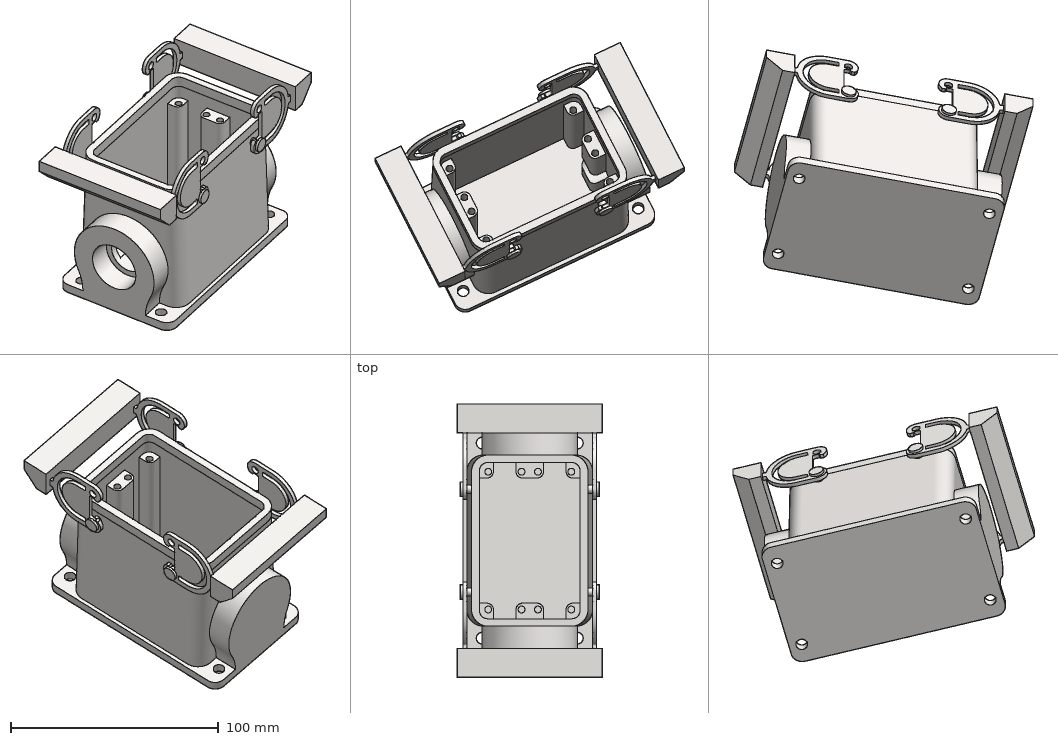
import cadquery as cq
import math

base_width = 64.5
base_length = 106.6
base_thickness = 4.7
base_corner_radius = 5.5
mount_hole_diameter = 5.5
mount_hole_x = 22.9
mount_hole_y = 47.0

wall_foot_width = 60.5
wall_top_width = 56.0
wall_length = 82.4
wall_corner_radius = 7.9
wall_top_z = 69.4
collar_height = 5.5
cavity_width = 48.5
cavity_length = 75.3
cavity_corner_radius = 4.1

entry_radius = 23.0
entry_z = 26.3
entry_flare_radius = 26.3
entry_bore_diameter = 25.0
entry_bore_depth = 12.1
entry_hole_diameter = 19.0

post_top_z = 62.4
post_reach_y = 30.1
post_corner_radius = 3.2
middle_post_width = 13.3
corner_post_edge_x = 17.5
screw_hole_diameter = 3.3
screw_hole_depth = 13.2
screw_y = 33.2
middle_screw_x = 4.0
corner_screw_x = 20.0

cheek_thickness = 2.0
cheek_outer_x = 32.2
cheek_z = 75.5
cheek_radius = 15.5
cheek_arc_y = 34.6
cheek_inner_y = 26.8
hook_radius = 4.9
hook_y = 24.7
hook_hole_diameter = 4.0
hook_lip_drop = 3.7
hook_notch_drop = 2.8
hook_notch_y = 23.8
hook_lip_y = 23.2
notch_fillet_radius = 0.8
slot_outer_radius = 12.5
slot_inner_radius = 9.6
slot_end_y = 29.3
slot_end_fillet_radius = 0.8
neck_height = 3.8
neck_fillet_radius = 0.8
pin_diameter = 4.0
pin_head_diameter = 7.1
pin_head_height = 1.3

bar_length = 70.0
bar_outer_y = 65.8
bar_inner_y = 51.9
bar_toe_y = 57.9
bar_bottom_z = 69.2
bar_top_z = 83.6
bar_chamfer_top_z = 77.5

hook_offset_z = cheek_radius - hook_radius
SIDES = (1, -1)
pick_margin = 0.1


def rounded_block(width, length, radius, bottom_z, height):
    """Upright block centred on the Z axis, with rounded vertical edges."""
    block = cq.Workplane("XY").workplane(offset=bottom_z).rect(width, length).extrude(height)
    return block.edges("|Z").fillet(radius)


def make_base():
    """Base plate with a mounting hole in each corner."""
    plate = rounded_block(base_width, base_length, base_corner_radius, 0, base_thickness)
    return (
        plate.faces(">Z").workplane(origin=(0, 0, base_thickness))
        .rect(2 * mount_hole_x, 2 * mount_hole_y, forConstruction=True)
        .vertices().hole(mount_hole_diameter)
    )


def make_walls():
    """Housing block whose long sides lean inwards towards the top."""
    foot_x = wall_foot_width / 2
    top_x = wall_top_width / 2
    block = (
        cq.Workplane("XZ").moveTo(-foot_x, base_thickness).lineTo(foot_x, base_thickness)
        .lineTo(top_x, wall_top_z).lineTo(-top_x, wall_top_z)
        .close().extrude(wall_length / 2, both=True)
    )
    return block.edges("not(|X or |Y)").fillet(wall_corner_radius)


def make_entries():
    """Round bosses through the full base length, flaring tangentially onto the base plate."""
    flare_reach = entry_radius + entry_flare_radius
    drop = entry_z - base_thickness
    flare_x = math.sqrt(flare_reach**2 - drop**2)
    foot_x = flare_x - entry_flare_radius
    tangent_x = flare_x * entry_radius / flare_reach
    tangent_z = entry_z - drop * entry_radius / flare_reach
    half_angle = math.asin(drop / flare_reach) / 2
    middle_x = flare_x - entry_flare_radius * math.cos(half_angle)
    middle_z = base_thickness + entry_flare_radius * math.sin(half_angle)
    return (
        cq.Workplane("XZ").moveTo(-foot_x, base_thickness)
        .threePointArc((-middle_x, middle_z), (-tangent_x, tangent_z))
        .threePointArc((0, entry_z + entry_radius), (tangent_x, tangent_z))
        .threePointArc((middle_x, middle_z), (foot_x, base_thickness))
        .close().extrude(base_length / 2, both=True)
    )


def make_posts():
    """Screw posts along both end walls: one in the middle and one in each corner."""
    height = post_top_z - base_thickness
    post_length = cavity_length / 2 - post_reach_y
    corner_width = cavity_width / 2 - corner_post_edge_x
    corner_x = (cavity_width / 2 + corner_post_edge_x) / 2
    floor = cq.Workplane("XY").workplane(offset=base_thickness)
    posts = cq.Workplane("XY")
    for end in SIDES:
        post_y = end * (post_reach_y + post_length / 2)
        inward = "<Y" if end > 0 else ">Y"
        middle = floor.center(0, post_y).rect(middle_post_width, post_length).extrude(height)
        posts = posts.add(middle.faces(inward).edges("|Z").fillet(post_corner_radius))
        for side in SIDES:
            corner = floor.center(side * corner_x, post_y).rect(corner_width, post_length).extrude(height)
            free_edge = "<X" if side > 0 else ">X"
            posts = posts.add(corner.faces(inward).edges(free_edge).fillet(post_corner_radius))
    return posts.combine()


def make_screw_holes():
    """Blind holes in the tops of the screw posts."""
    places = [
        (side * x, end * screw_y)
        for end in SIDES
        for side in SIDES
        for x in (middle_screw_x, corner_screw_x)
    ]
    top = cq.Workplane("XY").workplane(offset=post_top_z)
    return top.pushPoints(places).circle(screw_hole_diameter / 2).extrude(-screw_hole_depth)


def make_entry_hole():
    """Stepped cable hole from the -Y end into the cavity."""
    mouth = cq.Workplane("XZ", origin=(0, -base_length / 2, entry_z))
    bore = mouth.circle(entry_bore_diameter / 2).extrude(-entry_bore_depth)
    passage = mouth.circle(entry_hole_diameter / 2).extrude(-(base_length / 2 - post_reach_y))
    return bore.union(passage)


def make_cheek_slot():
    """C-shaped slot that follows the round back of a cheek."""
    top_out = cheek_z + slot_outer_radius
    top_in = cheek_z + slot_inner_radius
    bottom_out = cheek_z - slot_outer_radius
    bottom_in = cheek_z - slot_inner_radius
    slot = (
        cq.Workplane("YZ").moveTo(slot_end_y, top_out).lineTo(cheek_arc_y, top_out)
        .threePointArc((cheek_arc_y + slot_outer_radius, cheek_z), (cheek_arc_y, bottom_out))
        .lineTo(slot_end_y, bottom_out).lineTo(slot_end_y, bottom_in).lineTo(cheek_arc_y, bottom_in)
        .threePointArc((cheek_arc_y + slot_inner_radius, cheek_z), (cheek_arc_y, top_in))
        .lineTo(slot_end_y, top_in).close().extrude(cheek_thickness)
    )
    return slot.faces("<Y").edges("|X").fillet(slot_end_fillet_radius)


def make_cheek():
    """Cheek plate of the +Y lever, with its inner face on the YZ plane."""
    hook_z = cheek_z + hook_offset_z
    eye_z = cheek_z - hook_offset_z
    lip_tip_y = hook_y - math.sqrt(hook_radius**2 - hook_lip_drop**2)
    plate = (
        cq.Workplane("YZ").moveTo(cheek_arc_y, cheek_z + cheek_radius)
        .lineTo(hook_y, cheek_z + cheek_radius)
        .threePointArc((hook_y - hook_radius, hook_z), (lip_tip_y, hook_z - hook_lip_drop))
        .lineTo(hook_lip_y, hook_z - hook_lip_drop).lineTo(hook_notch_y, hook_z - hook_notch_drop)
        .lineTo(cheek_inner_y, hook_z - hook_notch_drop).lineTo(cheek_inner_y, eye_z + hook_notch_drop)
        .lineTo(hook_notch_y, eye_z + hook_notch_drop).lineTo(hook_lip_y, eye_z + hook_lip_drop)
        .lineTo(lip_tip_y, eye_z + hook_lip_drop)
        .threePointArc((hook_y - hook_radius, eye_z), (hook_y, cheek_z - cheek_radius))
        .lineTo(cheek_arc_y, cheek_z - cheek_radius)
        .threePointArc((cheek_arc_y + cheek_radius, cheek_z), (cheek_arc_y, cheek_z + cheek_radius))
        .close().extrude(cheek_thickness)
    )
    notch_corners = cq.selectors.BoxSelector(
        (-pick_margin, cheek_inner_y - pick_margin, eye_z),
        (cheek_thickness + pick_margin, cheek_inner_y + pick_margin, hook_z),
    )
    plate = plate.edges("|X").edges(notch_corners).fillet(notch_fillet_radius)
    neck_length = bar_inner_y - cheek_arc_y
    neck = (
        cq.Workplane("YZ").center(cheek_arc_y + neck_length / 2, cheek_z)
        .rect(neck_length, neck_height).extrude(cheek_thickness)
    )
    ring_reach = math.sqrt(cheek_radius**2 - (neck_height / 2) ** 2)
    neck_roots = cq.selectors.BoxSelector(
        (-pick_margin, cheek_arc_y + ring_reach - pick_margin, cheek_z - neck_height),
        (cheek_thickness + pick_margin, cheek_arc_y + ring_reach + pick_margin, cheek_z + neck_height),
    )
    plate = plate.union(neck).edges("|X").edges(neck_roots).fillet(neck_fillet_radius)
    hook_hole = (
        cq.Workplane("YZ").center(hook_y, hook_z).circle(hook_hole_diameter / 2).extrude(cheek_thickness)
    )
    return plate.cut(make_cheek_slot()).cut(hook_hole)


def make_pin():
    """Headed pivot pin on the +X side, from inside the wall out through the cheek."""
    pin_start_x = (wall_top_width + cavity_width) / 4
    place = (hook_y, cheek_z - hook_offset_z)
    shank = (
        cq.Workplane("YZ").workplane(offset=pin_start_x).center(*place)
        .circle(pin_diameter / 2).extrude(cheek_outer_x - pin_start_x)
    )
    head = (
        cq.Workplane("YZ").workplane(offset=cheek_outer_x).center(*place)
        .circle(pin_head_diameter / 2).extrude(pin_head_height)
    )
    return shank.union(head)


def make_bar():
    """Handle bar of the +Y lever, with a sloping outer underside."""
    return (
        cq.Workplane("YZ").moveTo(bar_inner_y, bar_bottom_z).lineTo(bar_toe_y, bar_bottom_z)
        .lineTo(bar_outer_y, bar_chamfer_top_z).lineTo(bar_outer_y, bar_top_z)
        .lineTo(bar_inner_y, bar_top_z).close().extrude(bar_length / 2, both=True)
    )


def make_lever():
    """The +Y lever: bar, two cheeks and two pivot pins."""
    half = make_cheek().translate((cheek_outer_x - cheek_thickness, 0, 0)).union(make_pin())
    return make_bar().union(half).union(half.mirror("YZ"))


def make_housing():
    """Housing with base, entries, posts and the two pinned-on levers."""
    cavity = rounded_block(
        cavity_width, cavity_length, cavity_corner_radius, base_thickness, wall_top_z - base_thickness
    )
    inside_posts = make_posts().intersect(cavity)
    shell = make_base().union(make_walls()).union(make_entries()).cut(cavity)
    shell = shell.union(inside_posts).cut(make_screw_holes()).cut(make_entry_hole())
    lever = make_lever()
    return shell.union(lever).union(lever.mirror("XZ"))


def make_collar():
    """Straight-sided ring on top of the leaning walls."""
    outer = rounded_block(wall_top_width, wall_length, wall_corner_radius, wall_top_z, collar_height)
    opening = rounded_block(cavity_width, cavity_length, cavity_corner_radius, wall_top_z, collar_height)
    return outer.cut(opening)


housing = make_housing()
collar = make_collar()
result = cq.Compound.makeCompound([housing.solids().val(), collar.solids().val()])